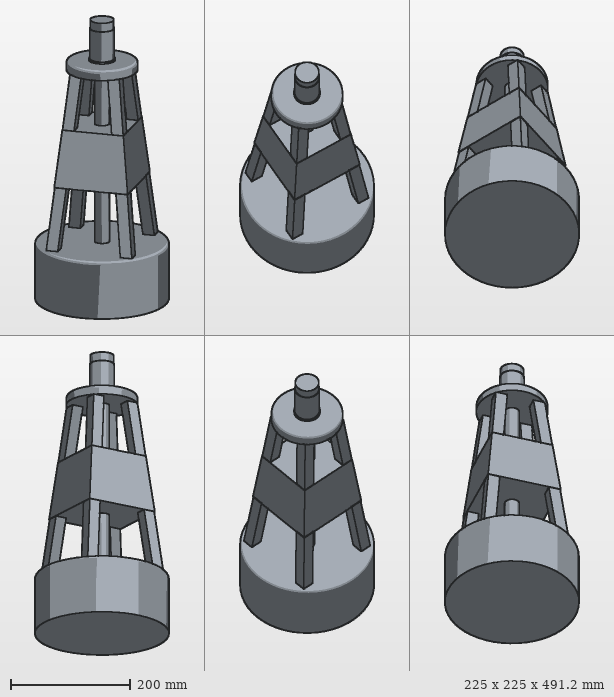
import cadquery as cq

FLOAT_TOP = 100.0
PANEL_BOTTOM = 209.0
PANEL_TOP = 308.0
PLATE_BOTTOM = 403.5
PLATE_TOP = 420.0
COLLAR_TOP = 423.0
CAP_BOTTOM = 476.0
TOTAL_HEIGHT = 491.2

FLOAT_DIAMETER = 225.0
POLE_DIAMETER = 25.0
PLATE_DIAMETER = 120.0
COLLAR_DIAMETER = 43.5
LANTERN_DIAMETER = 41.5
CAP_DIAMETER = 40.0
RIM_FILLET = 5.0

LEG_SIZE = 20.0
LEGS_BOTTOM_WIDTH = 150.0
LEGS_TOP_WIDTH = 86.5
PANEL_BOTTOM_WIDTH = 128.5
PANEL_TOP_WIDTH = 107.0


def cylinder(diameter, bottom, top):
    """Upright cylinder on the central axis."""
    return cq.Workplane("XY").workplane(offset=bottom).circle(diameter / 2).extrude(top - bottom)


def rounded_disc(diameter, bottom, top):
    """Cylinder with a rounded upper rim."""
    return cylinder(diameter, bottom, top).faces(">Z").edges().fillet(RIM_FILLET)


def leg(x_sign, y_sign):
    """Square bar leaning inward from the float to the top plate."""
    bottom_center = (LEGS_BOTTOM_WIDTH - LEG_SIZE) / 2
    top_center = (LEGS_TOP_WIDTH - LEG_SIZE) / 2
    lean = top_center - bottom_center
    return (
        cq.Workplane("XY", origin=(x_sign * bottom_center, y_sign * bottom_center, FLOAT_TOP))
        .rect(LEG_SIZE, LEG_SIZE)
        .workplane(offset=PLATE_BOTTOM - FLOAT_TOP)
        .center(x_sign * lean, y_sign * lean)
        .rect(LEG_SIZE, LEG_SIZE)
        .loft(ruled=True)
    )


def panel_block():
    """Solid tapered block enclosing the middle of the legs."""
    return (
        cq.Workplane("XY", origin=(0, 0, PANEL_BOTTOM))
        .rect(PANEL_BOTTOM_WIDTH, PANEL_BOTTOM_WIDTH)
        .workplane(offset=PANEL_TOP - PANEL_BOTTOM)
        .rect(PANEL_TOP_WIDTH, PANEL_TOP_WIDTH)
        .loft(ruled=True)
    )


result = rounded_disc(FLOAT_DIAMETER, 0, FLOAT_TOP)
result = result.union(cylinder(POLE_DIAMETER, FLOAT_TOP, PLATE_BOTTOM))
result = result.union(rounded_disc(PLATE_DIAMETER, PLATE_BOTTOM, PLATE_TOP))

for x_sign in (-1, 1):
    for y_sign in (-1, 1):
        result = result.union(leg(x_sign, y_sign))
result = result.union(panel_block())

result = result.union(cylinder(COLLAR_DIAMETER, PLATE_TOP, COLLAR_TOP))
result = result.union(cylinder(LANTERN_DIAMETER, COLLAR_TOP, CAP_BOTTOM))
result = result.union(cylinder(CAP_DIAMETER, CAP_BOTTOM, TOTAL_HEIGHT))